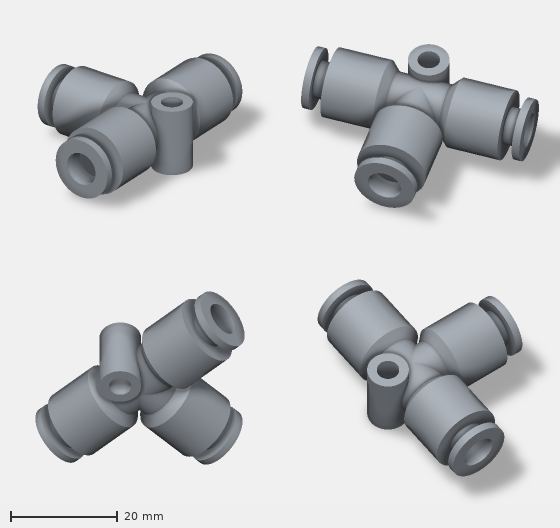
import cadquery as cq

port_reach = 21.55

barrel_radius = 6.75
neck_radius = 5.0
barrel_outer_end = 17.5
barrel_inner_end = 7.05
taper_length = barrel_radius - neck_radius
taper_inner_end = barrel_inner_end - taper_length

flange_radius = 6.0
flange_thickness = 1.5
stem_radius = 3.6
bore_radius = 3.28

eye_radius = 3.92
eye_hole_radius = 2.1
eye_height = 13.45
eye_center_x = 5.35

port_directions = [(-1, 0, 0), (0, 1, 0), (0, -1, 0)]


def port_cylinder(direction, radius, start, end):
    """Cylinder on a port axis between two distances from the crossing."""
    origin = cq.Vector(*direction) * start
    return cq.Workplane(cq.Plane(origin=origin, normal=direction)).circle(radius).extrude(end - start)


def make_arm(direction):
    """Neck, taper and barrel of one port, starting at the crossing."""
    neck = port_cylinder(direction, neck_radius, 0, barrel_inner_end)
    barrel = port_cylinder(direction, barrel_radius, barrel_inner_end, barrel_outer_end)
    taper = cq.Workplane(obj=cq.Solid.makeCone(
        neck_radius,
        barrel_radius,
        taper_length,
        pnt=cq.Vector(*direction) * taper_inner_end,
        dir=cq.Vector(*direction),
    ))
    return neck.union(taper).union(barrel)


def make_housing():
    """Tee of three solid arms with a mounting eye."""
    eye_plane = cq.Workplane("XY").center(eye_center_x, 0)
    housing = eye_plane.circle(eye_radius).extrude(eye_height / 2, both=True)
    for direction in port_directions:
        housing = housing.union(make_arm(direction))
    eye_hole = eye_plane.circle(eye_hole_radius).extrude(eye_height / 2, both=True)
    return housing.cut(eye_hole)


def make_sleeve(direction):
    """Flanged tube from the barrel end face out to the port end."""
    stem = port_cylinder(direction, stem_radius, barrel_outer_end, port_reach)
    flange = port_cylinder(direction, flange_radius, port_reach - flange_thickness, port_reach)
    bore = port_cylinder(direction, bore_radius, barrel_outer_end, port_reach)
    return stem.union(flange).cut(bore)


housing = make_housing()
sleeves = [make_sleeve(direction) for direction in port_directions]

result = cq.Compound.makeCompound([housing.val(), *[sleeve.val() for sleeve in sleeves]])